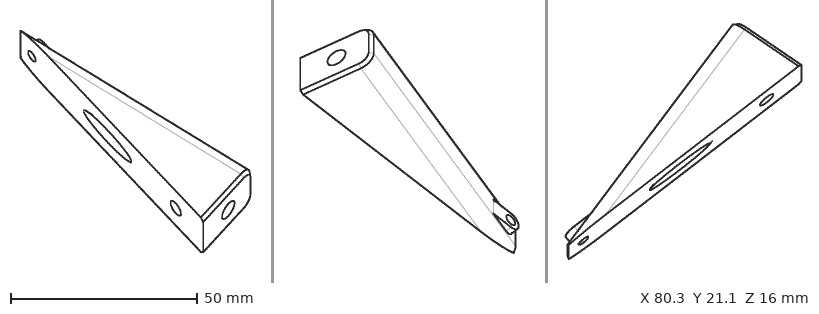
import cadquery as cq
import math

length = 80.25
width = 16.0
tip_thickness = 0.77
slope_angle = 15.5
long_edge_radius = 4.0
end_chamfer = 1.0

pad_center_x = 5.0
pad_width = 6.0
pad_height = 4.0
pad_hole_diameter = 3.3

blind_hole_x = 68.2
blind_hole_diameter = 4.6
blind_hole_depth = 4.0

bore_x = 38.2
bore_diameter = 5.6

slope = math.radians(slope_angle)
slope_rise = math.tan(slope)
peak_y = (tip_thickness + length * slope_rise) / (1 + slope_rise**2)
peak_x = length - peak_y * slope_rise


def make_wedge():
    wedge = (
        cq.Workplane("XY")
        .polyline([(0, 0), (length, 0), (peak_x, peak_y), (0, tip_thickness)])
        .close()
        .extrude(width / 2, both=True)
    )
    slope_normal = cq.Vector(-math.sin(slope), math.cos(slope), 0)
    end_normal = cq.Vector(math.cos(slope), math.sin(slope), 0)
    sloped_face = cq.selectors.DirectionMinMaxSelector(slope_normal, True)
    thick_end = cq.selectors.DirectionMinMaxSelector(end_normal, True)

    long_edges = wedge.faces(sloped_face).edges("not |Z")
    wedge = long_edges.fillet(long_edge_radius)
    end_edges = wedge.faces(thick_end).edges("not <Y")
    return end_edges.chamfer(end_chamfer)


def make_pad():
    pad_radius = pad_width / 2
    merge_x = (pad_height - tip_thickness) / slope_rise
    straight_length = merge_x - pad_center_x
    round_end = cq.Workplane("XZ").center(pad_center_x, 0).circle(pad_radius).extrude(-pad_height)
    straight = (
        cq.Workplane("XZ")
        .center(pad_center_x + straight_length / 2, 0)
        .rect(straight_length, pad_width)
        .extrude(-pad_height)
    )
    return round_end.union(straight)


def base_face_hole(x, diameter, depth):
    return cq.Workplane("XZ").center(x, 0).circle(diameter / 2).extrude(-depth)


def make_bore():
    axis = cq.Vector(math.cos(slope), math.sin(slope), 0)
    start = cq.Vector(bore_x, 0, 0) - axis * length
    drill_length = 2 * length
    drill = cq.Solid.makeCylinder(bore_diameter / 2, drill_length, start, axis)
    return cq.Workplane(drill)


result = (
    make_wedge()
    .union(make_pad())
    .cut(base_face_hole(pad_center_x, pad_hole_diameter, pad_height))
    .cut(base_face_hole(blind_hole_x, blind_hole_diameter, blind_hole_depth))
    .cut(make_bore())
)